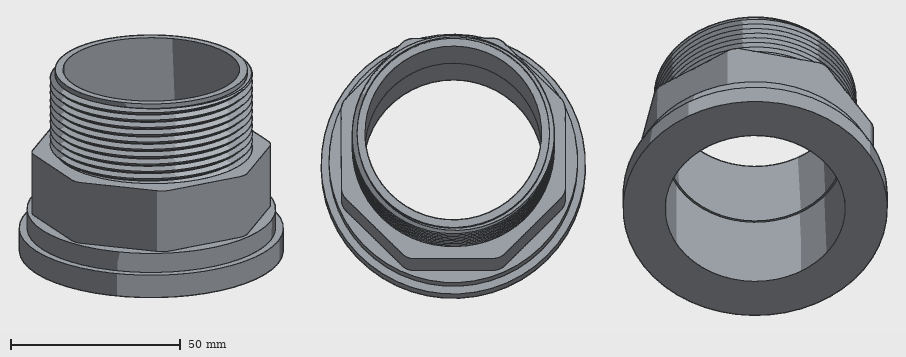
import cadquery as cq

total_height = 57.0
flange_height = 7.1
collar_top = 13.1
octagon_top = 32.2

flange_diameter = 77.8
collar_diameter = 73.2
octagon_sides = 8
octagon_across_flats = 66.0
octagon_corner_radius = 5.0

upper_bore_diameter = 52.0
lower_bore_diameter = 53.0
lower_bore_depth = 29.65

thread_root_diameter = 56.6
thread_crest_diameter = 59.6
thread_top = 55.6
thread_turns = 10
thread_rise = 23.1
thread_pitch = thread_rise / thread_turns
ridge_width = 2.0
root_overlap = 0.15


def disc(diameter, bottom, top):
    """Solid cylinder on the Z axis between two heights."""
    return cq.Workplane("XY").workplane(offset=bottom).circle(diameter / 2).extrude(top - bottom)


def wrench_octagon():
    """Octagonal grip with flats facing X and Y and rounded upright corners."""
    return (
        cq.Workplane("XY")
        .workplane(offset=collar_top)
        .polygon(octagon_sides, octagon_across_flats, circumscribed=True)
        .extrude(octagon_top - collar_top)
        .edges("|Z")
        .fillet(octagon_corner_radius)
    )


def thread_ridge():
    """V-shaped helical ridge, rooted inside the octagon and trimmed flat at its top."""
    root_radius = thread_root_diameter / 2
    crest_radius = thread_crest_diameter / 2
    inner_radius = root_radius - root_overlap
    ridge_slope = ridge_width / 2 / (crest_radius - root_radius)
    half_base = ridge_slope * (crest_radius - inner_radius)
    start = octagon_top - thread_pitch
    helix_height = thread_rise + 2 * thread_pitch
    helix = cq.Wire.makeHelix(thread_pitch, helix_height, root_radius, cq.Vector(0, 0, start))
    ridge = (
        cq.Workplane("XZ")
        .moveTo(inner_radius, start - half_base)
        .lineTo(crest_radius, start)
        .lineTo(inner_radius, start + half_base)
        .close()
        .sweep(cq.Workplane(obj=helix), isFrenet=True)
    )
    return ridge.intersect(disc(octagon_across_flats, collar_top, thread_top))


flange = disc(flange_diameter, 0, flange_height)
collar = disc(collar_diameter, flange_height, collar_top)
neck = disc(thread_root_diameter, octagon_top, total_height)
body = flange.union(collar).union(wrench_octagon()).union(neck)

upper_bore = disc(upper_bore_diameter, 0, total_height)
lower_bore = disc(lower_bore_diameter, 0, lower_bore_depth)
bored_body = body.cut(upper_bore).cut(lower_bore)

result = bored_body.union(thread_ridge())